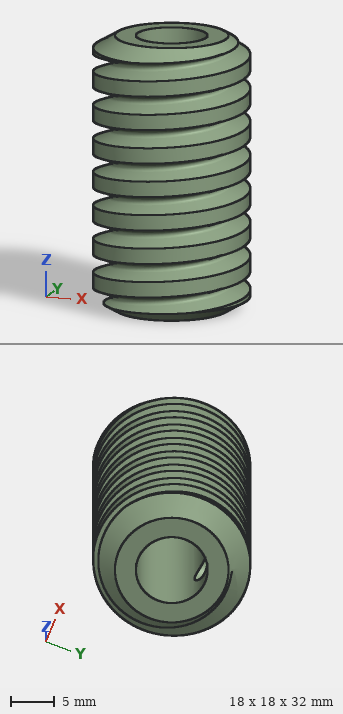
import cadquery as cq
import math

outer_diameter = 18.0
length = 32.0
bore_diameter = 8.2

bevel_depth = 2.5
bevel_angle = 30.0

module = 1.25
pitch = math.pi * module
pressure_angle = 20.0
groove_depth = 2.2
groove_mouth_width = 2.12
groove_start_angle = 90.0
groove_start_height = 0.19
cut_margin = 0.4

screw_hole_diameter = 4.0
screw_hole_height = 5.0

outer_radius = outer_diameter / 2


def make_body():
    blank = cq.Workplane("XY").circle(outer_radius).extrude(length)
    bevel_height = bevel_depth * math.tan(math.radians(bevel_angle))
    blank = blank.faces("<Z").chamfer(bevel_height, bevel_depth)
    return blank.faces(">Z").chamfer(bevel_height, bevel_depth)


def make_groove_turn():
    """One turn of the groove: its section swept along a helix starting at the start angle and Z = 0."""
    flank_angle = math.radians(pressure_angle)
    half_mouth = groove_mouth_width / 2
    root_radius = outer_radius - groove_depth

    sharp_half_width = half_mouth - groove_depth * math.tan(flank_angle)
    arc_radius = sharp_half_width * math.cos(flank_angle) / (1 - math.sin(flank_angle))
    tangent_radius = root_radius + arc_radius * (1 - math.sin(flank_angle))
    tangent_half_width = arc_radius * math.cos(flank_angle)

    cutter_radius = outer_radius + cut_margin
    cutter_half_width = half_mouth + cut_margin * math.tan(flank_angle)

    helix = cq.Wire.makeHelix(pitch, pitch, root_radius)
    section = (
        cq.Workplane("XZ")
        .moveTo(cutter_radius, -cutter_half_width)
        .lineTo(tangent_radius, -tangent_half_width)
        .threePointArc((root_radius, 0), (tangent_radius, tangent_half_width))
        .lineTo(cutter_radius, cutter_half_width)
        .close()
    )
    turn = section.sweep(cq.Workplane(obj=helix), isFrenet=True)
    return turn.rotate((0, 0, 0), (0, 0, 1), groove_start_angle)


def cut_groove(body):
    """Cut the groove turn by turn, from one turn below the bottom face until it leaves the top."""
    turn = make_groove_turn()
    turn_count = math.ceil(length / pitch) + 1
    for index in range(turn_count):
        turn_height = groove_start_height + (index - 1) * pitch
        body = body.cut(turn.translate((0, 0, turn_height)))
    return body


def make_bore():
    return cq.Workplane("XY").circle(bore_diameter / 2).extrude(length)


def make_screw_hole():
    """Cylinder from the axis out through the +Y wall."""
    return (
        cq.Workplane("XZ")
        .center(0, screw_hole_height)
        .circle(screw_hole_diameter / 2)
        .extrude(-(outer_radius + cut_margin))
    )


threaded_body = cut_groove(make_body())
result = threaded_body.cut(make_bore()).cut(make_screw_hole())